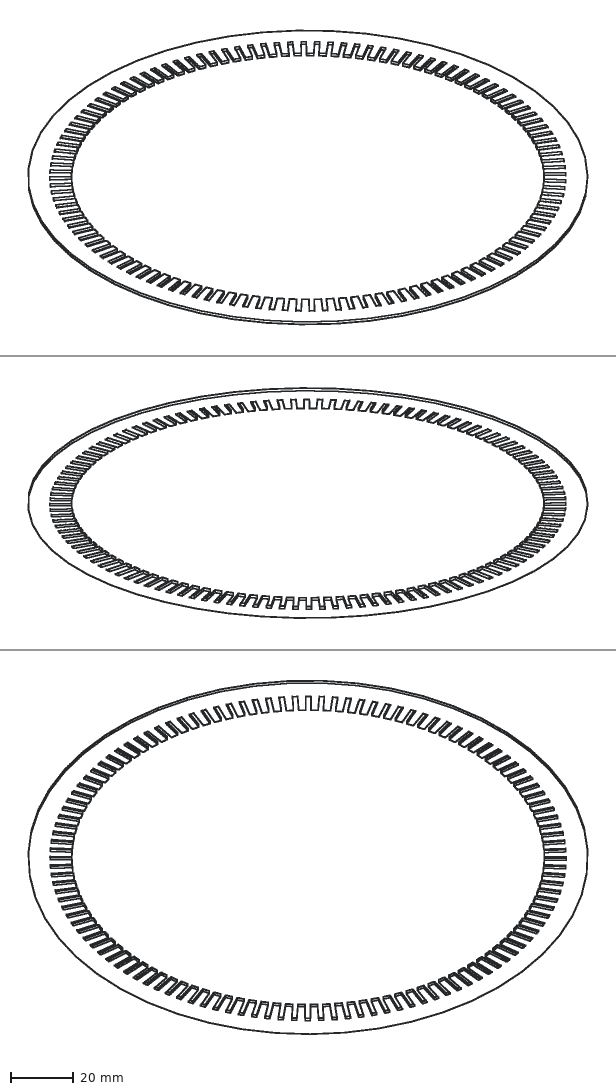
import cadquery as cq

outer_radius = 90.0
inner_radius = 76.0
thickness = 1.0

slot_count = 120
slot_end_radius = 83.0
slot_width = 1.64
bore_overlap = 1.8


def make_ring():
    return cq.Workplane("XY").circle(outer_radius).circle(inner_radius).extrude(thickness)


def make_slot_cutters():
    """Radial bars spaced evenly around the axis, the first one along +X."""
    start_radius = inner_radius - bore_overlap
    cutter_length = slot_end_radius - start_radius
    return (
        cq.Workplane("XY")
        .polarArray(start_radius + cutter_length / 2, 0, 360, slot_count)
        .rect(cutter_length, slot_width)
        .extrude(thickness)
    )


result = make_ring().cut(make_slot_cutters())